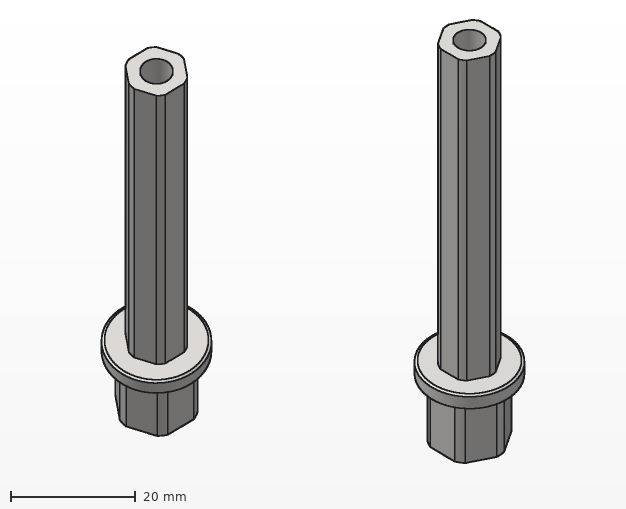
import cadquery as cq
import math

total_height = 82.55
head_height = 12.8
head_flats = 12.6
head_corner_diameter = 13.7
shaft_flats = 9.5
shaft_corner_diameter = 10.2
flange_diameter = 17.7
flange_thickness = 3.0
flange_chamfer_radial = 0.5
flange_chamfer_axial = 0.25
hole_diameter = 5.3
hole_depth = 19.8
drill_point_angle = 118.0

flange_top = head_height + flange_thickness


def rounded_hex_bar(across_flats, corner_diameter, base, height):
    """Hexagonal bar with flats facing +Y and -Y and its corners turned to a cylinder."""
    sharp_diameter = across_flats / math.cos(math.pi / 6)
    start = cq.Workplane("XY").workplane(offset=base)
    hexagon = start.polygon(6, sharp_diameter).extrude(height)
    cylinder = start.circle(corner_diameter / 2).extrude(height)
    return hexagon.intersect(cylinder)


def chamfered_flange():
    """Round collar, revolved about Z, with both rims beveled."""
    radius = flange_diameter / 2
    face_radius = radius - flange_chamfer_radial
    profile = [
        (0, head_height),
        (face_radius, head_height),
        (radius, head_height + flange_chamfer_axial),
        (radius, flange_top - flange_chamfer_axial),
        (face_radius, flange_top),
        (0, flange_top),
    ]
    return cq.Workplane("XZ").polyline(profile).close().revolve(360, (0, 0), (0, 1))


def drilled_hole():
    """Blind hole from the top of the shaft, ending in a drill point."""
    radius = hole_diameter / 2
    cone_height = radius / math.tan(math.radians(drill_point_angle / 2))
    shoulder = total_height - hole_depth
    profile = [
        (0, total_height),
        (radius, total_height),
        (radius, shoulder),
        (0, shoulder - cone_height),
    ]
    return cq.Workplane("XZ").polyline(profile).close().revolve(360, (0, 0), (0, 1))


head = rounded_hex_bar(head_flats, head_corner_diameter, 0, head_height)
shaft = rounded_hex_bar(shaft_flats, shaft_corner_diameter, flange_top, total_height - flange_top)

result = head.union(chamfered_flange()).union(shaft).cut(drilled_hole())